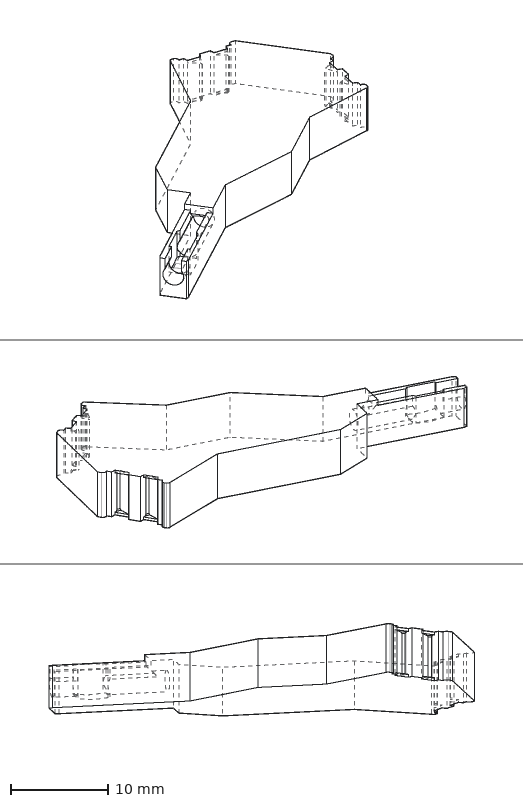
import cadquery as cq
import math

LENGTH = 43.4
HEAD_WIDTH = 21.05
THICKNESS = 5.1
Y_BACK = LENGTH / 2
Y_TIP = -LENGTH / 2
Z_TOP = THICKNESS / 2
Z_BOTTOM = -THICKNESS / 2

BODY_HALF_WIDTH = 6.35
HEAD_TAPER_Y = 8.72
LEFT_TAPER_Y = -5.15
LEFT_SHOULDER_X = -4.0
LEFT_SHOULDER_Y = -9.25
RIGHT_TAPER_Y = 1.5
RIGHT_TAPER_END_Y = -6.75

ARM_HALF_WIDTH = 1.5
ARM_TOP_Z = 1.9
ARM_STEP_Y = -11.6
TIP_BEVEL_X = 0.15
TIP_BEVEL_Y = 0.4
BORE_DIAMETER = 2.2
BORE_END_Y = -9.55
SLOT_WIDTH = 1.75
UNDERCUT_TOP_Z = 1.5

SEAT_WIDTH = 2.25
SEAT_BACK_Y = -15.8
SEAT_FRONT_Y = -19.23
SEAT_BEVEL = 0.25
VALLEY_Y = -17.55
VALLEY_Z = -1.3
VALLEY_RADIUS = 4.77
SEAT_BACK_ANGLE = 5.0
SEAT_FRONT_ANGLE = 6.0

EDGE_OFFSET = 18.45
EDGE_CENTER = 7.85
EDGE_HALF_LENGTH = 3.1
TOOTH_HALF_WIDTH = 0.65
NOTCH_WIDTH = 1.85
NOTCH_DEPTH = 0.5
NOTCH_DRAFT = 15.0
NOTCH_LEAN = NOTCH_DEPTH * math.tan(math.radians(NOTCH_DRAFT))

WEB = 0.3
POCKET_DEPTH = 0.3
POCKET_FLOOR_LENGTH = 0.35
POCKET_FLOOR_ANGLE = 7.0
POCKET_BEVEL = 0.15


def edge_point(along, depth=0.0):
    """XY point on the left corner, from the position along its edge and the depth below the tooth tops."""
    out = EDGE_OFFSET - depth
    return ((along - out) / math.sqrt(2), (along + out) / math.sqrt(2))


def mirrored(point):
    return (-point[0], point[1])


NOTCH_TOPS = (EDGE_CENTER + TOOTH_HALF_WIDTH + NOTCH_WIDTH, EDGE_CENTER - TOOTH_HALF_WIDTH)


def notch_points(top):
    bottom = top - NOTCH_WIDTH
    return [
        edge_point(top),
        edge_point(top - NOTCH_LEAN, NOTCH_DEPTH),
        edge_point(bottom + NOTCH_LEAN, NOTCH_DEPTH),
        edge_point(bottom),
    ]


BACK_CORNER = (-5.08, Y_BACK)
BACK_LIP_START = (-5.42, 21.4)
BACK_LIP_MIDDLE = (-5.5, 21.1)
SIDE_LIP_MIDDLE = (-10.0, 16.62)
SIDE_LIP_END = (-10.3, 16.55)
SIDE_ROUND_START = (-10.4, 16.35)
SIDE_ROUND_MIDDLE = (-HEAD_WIDTH / 2, 16.15)
SIDE_ROUND_END = (-10.4, 15.93)


def corner_block(flip):
    """Plate region of one head half, between the centre line and its sawtooth edge."""
    place = mirrored if flip else (lambda point: point)
    sketch = cq.Workplane("XY", origin=(0, 0, Z_BOTTOM))
    sketch = sketch.moveTo(0, Y_BACK).lineTo(*place(BACK_CORNER)).lineTo(*place(BACK_LIP_START))
    sketch = sketch.threePointArc(place(BACK_LIP_MIDDLE), place(edge_point(EDGE_CENTER + EDGE_HALF_LENGTH)))
    for top in NOTCH_TOPS:
        for point in notch_points(top):
            sketch = sketch.lineTo(*place(point))
    sketch = sketch.lineTo(*place(edge_point(EDGE_CENTER - EDGE_HALF_LENGTH)))
    sketch = sketch.threePointArc(place(SIDE_LIP_MIDDLE), place(SIDE_LIP_END))
    sketch = sketch.lineTo(*place(SIDE_ROUND_START))
    sketch = sketch.threePointArc(place(SIDE_ROUND_MIDDLE), place(SIDE_ROUND_END))
    sketch = sketch.lineTo(*place((-BODY_HALF_WIDTH, HEAD_TAPER_Y))).lineTo(0, HEAD_TAPER_Y)
    return sketch.close().extrude(THICKNESS)


def lower_body():
    """Body below the head, down to the tip of the arm at full thickness."""
    points = [
        (-BODY_HALF_WIDTH, HEAD_TAPER_Y),
        (-BODY_HALF_WIDTH, LEFT_TAPER_Y),
        (LEFT_SHOULDER_X, LEFT_SHOULDER_Y),
        (-ARM_HALF_WIDTH, LEFT_SHOULDER_Y),
        (-ARM_HALF_WIDTH, Y_TIP + TIP_BEVEL_Y),
        (-ARM_HALF_WIDTH + TIP_BEVEL_X, Y_TIP),
        (ARM_HALF_WIDTH - TIP_BEVEL_X, Y_TIP),
        (ARM_HALF_WIDTH, Y_TIP + TIP_BEVEL_Y),
        (ARM_HALF_WIDTH, RIGHT_TAPER_END_Y),
        (BODY_HALF_WIDTH, RIGHT_TAPER_Y),
        (BODY_HALF_WIDTH, HEAD_TAPER_Y),
    ]
    return cq.Workplane("XY", origin=(0, 0, Z_BOTTOM)).polyline(points).close().extrude(THICKNESS)


def notch_pocket(top, flip):
    """Pocket that continues the upper notch wall and has a floor facing almost straight sideways."""
    deep = NOTCH_DEPTH + POCKET_DEPTH
    draft = math.tan(math.radians(NOTCH_DRAFT))
    floor_angle = math.radians(POCKET_FLOOR_ANGLE)
    wall_end = edge_point(top - deep * draft, deep)
    lower_end = edge_point(top - NOTCH_WIDTH + NOTCH_LEAN, NOTCH_DEPTH)
    floor_start = (wall_end[0] + POCKET_BEVEL, wall_end[1] - POCKET_BEVEL)
    floor_end = (
        floor_start[0] + POCKET_FLOOR_LENGTH * math.sin(floor_angle),
        floor_start[1] - POCKET_FLOOR_LENGTH * math.cos(floor_angle),
    )
    points = [edge_point(top - NOTCH_LEAN, NOTCH_DEPTH), wall_end, floor_start, floor_end, lower_end]
    height = THICKNESS - 2 * WEB
    pocket = cq.Workplane("XY", origin=(0, 0, -height / 2)).polyline(points).close().extrude(height)
    middle = ((floor_start[0] + floor_end[0]) / 2, (floor_start[1] + floor_end[1]) / 2)
    for z in (-height / 2, height / 2):
        floor_rim = cq.selectors.NearestToPointSelector((middle[0], middle[1], z))
        pocket = pocket.edges(floor_rim).chamfer(POCKET_BEVEL)
    return pocket.mirror("YZ") if flip else pocket


def channel():
    """Bore along the arm, the slot that opens it upward and its sloped end under the body."""
    bore = (
        cq.Workplane("XZ", origin=(0, BORE_END_Y, 0))
        .circle(BORE_DIAMETER / 2)
        .extrude(BORE_END_Y - Y_TIP)
    )
    slot_profile = [
        (Y_TIP, 0),
        (ARM_STEP_Y + UNDERCUT_TOP_Z, 0),
        (ARM_STEP_Y, UNDERCUT_TOP_Z),
        (ARM_STEP_Y, Z_TOP),
        (Y_TIP, Z_TOP),
    ]
    slot = cq.Workplane("YZ").polyline(slot_profile).close().extrude(SLOT_WIDTH / 2, both=True)
    return bore.union(slot)


def seat():
    """Widened stretch of the channel whose two floor slopes blend in an arc."""
    back_angle = math.radians(SEAT_BACK_ANGLE)
    front_angle = math.radians(SEAT_FRONT_ANGLE)
    arc_center_z = VALLEY_Z + VALLEY_RADIUS

    def arc_point(angle):
        return (VALLEY_Y + VALLEY_RADIUS * math.sin(angle), arc_center_z - VALLEY_RADIUS * math.cos(angle))

    arc_back = arc_point(back_angle)
    arc_front = arc_point(-front_angle)
    floor_back_z = arc_back[1] + (SEAT_BACK_Y - arc_back[0]) * math.tan(back_angle)
    floor_front_z = arc_front[1] + (arc_front[0] - SEAT_FRONT_Y) * math.tan(front_angle)
    return (
        cq.Workplane("YZ")
        .moveTo(SEAT_BACK_Y, Z_TOP)
        .lineTo(SEAT_BACK_Y, floor_back_z)
        .lineTo(*arc_back)
        .threePointArc((VALLEY_Y, VALLEY_Z), arc_front)
        .lineTo(SEAT_FRONT_Y, floor_front_z)
        .lineTo(SEAT_FRONT_Y, Z_TOP)
        .close()
        .extrude(SEAT_WIDTH / 2, both=True)
        .faces(">Y")
        .edges("|Z")
        .chamfer(SEAT_BEVEL)
    )


def arm_step():
    """Material removed above the arm."""
    length = ARM_STEP_Y - Y_TIP
    height = Z_TOP - ARM_TOP_Z
    corner = cq.Workplane("XY", origin=(0, Y_TIP, ARM_TOP_Z))
    return corner.box(2 * ARM_HALF_WIDTH, length, height, centered=(True, False, False))


LEFT_AND_RIGHT = (False, True)
result = lower_body()
for flip in LEFT_AND_RIGHT:
    result = result.union(corner_block(flip))
for flip in LEFT_AND_RIGHT:
    for top in NOTCH_TOPS:
        result = result.cut(notch_pocket(top, flip))
result = result.cut(arm_step()).cut(channel()).cut(seat())